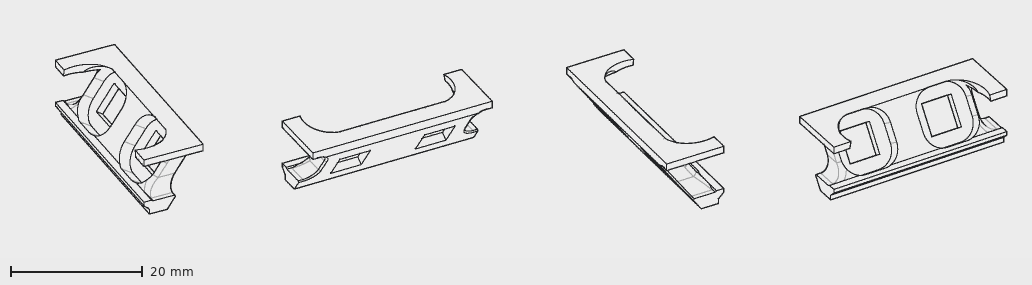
import cadquery as cq
import math

length = 30.8
depth = 10.0
height = 10.1
plate_thickness = 1.2
slope_angle = 55.0
run_per_rise = 1 / math.tan(math.radians(slope_angle))
center_x = length / 2

rail_height = 2.43
rail_nose_bottom = 1.8
rail_undercut = 0.92
rail_lip_depth = 1.3
seat_height = 2.25
seat_front_y = 1.55

web_back_foot = 3.95
web_front_foot = rail_lip_depth - rail_height * run_per_rise
waist_inset = 2.77
waist_radius = 1.97
waist_mid_z = (height - plate_thickness + seat_height) / 2
waist_sides = (waist_inset, length - waist_inset)
edge_fillet = 1.0
back_chamfer = 0.3
overshoot = 6.15
tool_length = 18.48

pocket_spacing = 14.55
pocket_width = 9.8
pocket_height = 9.55
pocket_radius = 3.2
window_size = 5.25
window_center_z = 4.93
pocket_floor_thickness = 1.35

opening_inset = 2.8
opening_radius = 4.0
opening_lean = 90 - slope_angle


def web_back_y(z):
    return web_back_foot + z * run_per_rise


def web_front_y(z):
    return web_front_foot + z * run_per_rise


def extrude_section(points):
    return cq.Workplane("YZ").polyline(points).close().extrude(length)


def make_rail():
    return extrude_section([
        (0, rail_height),
        (rail_lip_depth, rail_height),
        (seat_front_y, seat_height),
        (web_back_y(seat_height), seat_height),
        (web_back_foot, 0),
        (rail_undercut, 0),
        (rail_undercut, rail_nose_bottom - rail_undercut),
        (0, rail_nose_bottom),
    ])


def make_waist_cutter():
    """Rounded notch that narrows the left end of the web."""
    top = height - plate_thickness
    arc_start = waist_inset - waist_radius
    diagonal = waist_radius * math.sqrt(0.5)
    return (
        cq.Workplane("XZ")
        .moveTo(0, seat_height)
        .lineTo(arc_start, seat_height)
        .threePointArc((arc_start + diagonal, seat_height + waist_radius - diagonal),
                       (waist_inset, seat_height + waist_radius))
        .lineTo(waist_inset, top - waist_radius)
        .threePointArc((arc_start + diagonal, top - waist_radius + diagonal), (arc_start, top))
        .lineTo(0, top)
        .close()
        .extrude(tool_length, both=True)
    )


def waist_edge(x, y):
    """Selector for the web edge running along a waist, at mid height."""
    return cq.selectors.NearestToPointSelector((x, y, waist_mid_z))


def make_web():
    low = -overshoot
    high = height + overshoot
    web = extrude_section([
        (web_front_y(low), low),
        (web_back_y(low), low),
        (web_back_y(high), high),
        (web_front_y(high), high),
    ])
    notch = make_waist_cutter()
    web = web.cut(notch).cut(notch.mirror("YZ", (center_x, 0, 0)))
    for x in waist_sides:
        web = web.edges(waist_edge(x, web_front_y(waist_mid_z))).fillet(edge_fillet)
    keep = cq.Workplane().box(length, 2 * depth, height - rail_nose_bottom, centered=False)
    return web.intersect(keep.translate((0, 0, rail_nose_bottom)))


def make_plate():
    plate = cq.Workplane().box(length, depth + overshoot, plate_thickness, centered=False)
    plate = plate.translate((0, 0, height - plate_thickness))
    opening_width = length - 2 * opening_inset
    lean = math.radians(opening_lean)
    opening_y = web_front_y(height) - opening_radius / math.cos(lean)
    leaning_plane = cq.Plane(
        origin=(center_x, opening_y, height),
        xDir=(1, 0, 0),
        normal=(0, math.sin(lean), math.cos(lean)),
    )
    opening = (
        cq.Workplane(leaning_plane)
        .slot2D(opening_width, 2 * opening_radius)
        .extrude(tool_length, both=True)
    )
    return plate.cut(opening)


def cut_pocket(body, x):
    slope = math.radians(slope_angle)
    normal = (0, -math.sin(slope), math.cos(slope))
    back_z = window_center_z - pocket_floor_thickness * math.cos(slope)
    plane = cq.Plane(origin=(x, web_back_y(back_z), back_z), xDir=(1, 0, 0), normal=normal)
    pocket = (
        cq.Workplane(plane)
        .workplane(offset=pocket_floor_thickness)
        .rect(pocket_width, pocket_height)
        .extrude(tool_length)
        .edges(cq.selectors.ParallelDirSelector(cq.Vector(*normal)))
        .fillet(pocket_radius)
    )
    window = cq.Workplane(plane).rect(window_size, window_size).extrude(tool_length, both=True)
    return body.cut(pocket).cut(window)


result = make_web().union(make_rail()).union(make_plate())
for x in waist_sides:
    result = result.edges(waist_edge(x, web_back_y(waist_mid_z))).chamfer(back_chamfer)
for side in (-1, 1):
    result = cut_pocket(result, center_x + side * pocket_spacing / 2)
result = result.intersect(cq.Workplane().box(length, depth, height, centered=False))